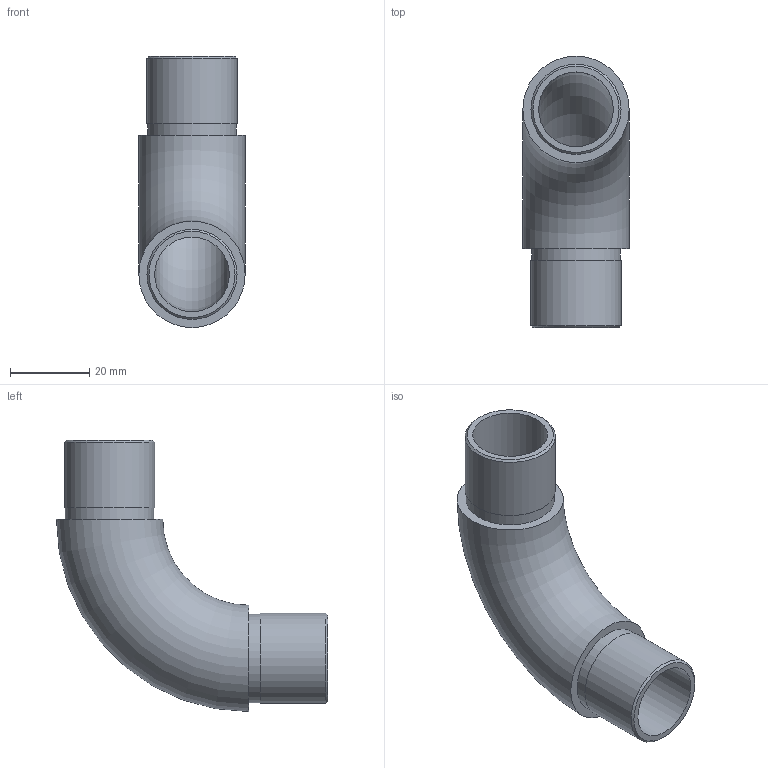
import cadquery as cq

body_diameter = 26.9
bore_diameter = 18.9
bend_radius = 35.15
bend_angle = 90

spigot_length = 20.0
relief_length = 3.0
relief_diameter = 22.4
spigot_diameter = 22.8
tip_chamfer = 0.5


def make_bend():
    """Hollow quarter torus from the -Y mouth at the origin up to the +Z mouth."""
    return (
        cq.Workplane("XZ")
        .circle(body_diameter / 2)
        .circle(bore_diameter / 2)
        .revolve(bend_angle, (0, bend_radius), (1, bend_radius))
    )


def make_spigot():
    """Hollow spigot standing on the XY plane: a thin neck, then a sleeve with a chamfered tip."""
    neck = cq.Workplane("XY").circle(relief_diameter / 2).extrude(relief_length)
    sleeve = (
        cq.Workplane("XY", origin=(0, 0, relief_length))
        .circle(spigot_diameter / 2)
        .extrude(spigot_length - relief_length)
        .faces(">Z")
        .chamfer(tip_chamfer)
    )
    bore = cq.Workplane("XY").circle(bore_diameter / 2).extrude(spigot_length)
    return neck.union(sleeve).cut(bore)


spigot = make_spigot()
horizontal_spigot = spigot.rotate((0, 0, 0), (1, 0, 0), bend_angle)
vertical_spigot = spigot.translate((0, bend_radius, bend_radius))

result = make_bend().union(horizontal_spigot).union(vertical_spigot)